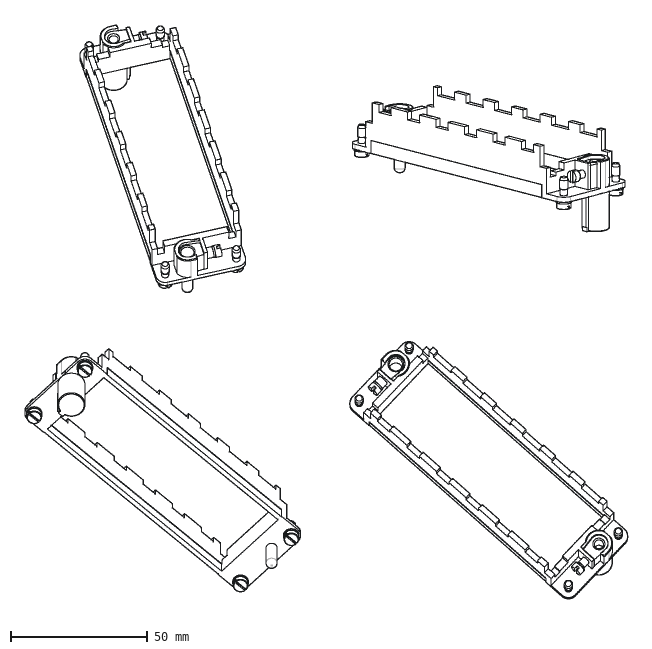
import cadquery as cq
import math

frame_length = 111.0
frame_width = 34.0
flange_height = 2.0
corner_radius = 3.4

wall_thickness = 2.1
wall_top = 19.4
shoulder_top = 11.7
wall_half_length = 46.6
tooth_half_length = 43.3
notch_count = 6
notch_span = 73.5
notch_floor = 16.4
front_notch_width = 8.7
back_notch_width = 6.1
recess_height = 5.0
recess_depth = 0.17

window_half_length = 44.0
end_wall_top = 12.0
end_wall_half_width = 12.2
step_top = 9.3
step_half_width = 7.9
corner_top = 8.0

boss_radius = 5.0
boss_y = -4.7
boss_flat_y = -9.2
boss_top = 12.3
boss_chamfer = 0.3
lug_end_y = -2.1
pocket_radius = 3.3
pocket_end_half_width = 2.8
pocket_floor = 11.0
bore_depth = 8.9
drill_tip_angle = 118.0
socket_bore_radius = 1.7
socket_mouth_radius = 2.2
pin_bore_radius = 2.4
pin_mouth_radius = 2.9

web_start_y = 0.9
web_thickness = 1.3
web_reach = 2.9
clamp_head_radius = 2.2
clamp_head_length = 2.3
clamp_head_end_y = 7.9
clamp_z = 7.4
clamp_slot_width = 1.0
clamp_slot_depth = 1.3
clamp_collar_length = 0.7
clamp_collar_rim = 0.1
socket_shaft_diameter = 3.0
pin_shaft_diameter = 4.0

socket_bottom = -14.5
socket_chamfer = 0.3
key_width = 2.2
key_end_y = 1.4
key_step_y = 1.1
key_step_z = -12.9
pin_diameter = 4.1
pin_bottom = -12.5
pin_round = 1.8

screw_x = 52.1
screw_y = 13.5
screw_washer_radius = 2.9
screw_washer_bottom = -0.8
screw_head_radius = 2.7
screw_head_bottom = -3.0
screw_head_chamfer = 0.2
screw_slot_width = 0.7
screw_slot_depth = 1.1
screw_neck_radius = 1.3
screw_thread_start = 4.3
screw_thread_radius = 1.5
screw_thread_end = 7.8
screw_tip_radius = 1.1
screw_tip = 8.8

half_length = frame_length / 2
half_width = frame_width / 2
wall_inner_y = half_width - wall_thickness
boss_x = half_length - boss_radius
web_end_y = web_start_y + web_thickness


def box(x0, x1, y0, y1, z0, z1):
    """Block between opposite corners."""
    return cq.Workplane("XY").box(x1 - x0, y1 - y0, z1 - z0, centered=False).translate((x0, y0, z0))


def rod(x, y, radius, z0, z1):
    """Upright cylinder."""
    return cq.Workplane("XY", origin=(x, y, z0)).circle(radius).extrude(z1 - z0)


def turned(x, y, profile):
    """Solid of revolution about an upright axis; the profile holds (radius, z) pairs."""
    body = cq.Workplane("XZ").polyline(profile).close().revolve(360, (0, 0), (0, 1))
    return body.translate((x, y, 0))


def flange():
    """Rounded base plate."""
    plate = box(-half_length, half_length, -half_width, half_width, 0, flange_height)
    return plate.edges("|Z").fillet(corner_radius)


def side_wall(notch_width):
    """Toothed wall standing on the -Y edge."""
    y0, y1 = -half_width, -wall_inner_y
    wall = box(-wall_half_length, wall_half_length, y0, y1, 0, shoulder_top)
    wall = wall.union(box(-tooth_half_length, tooth_half_length, y0, y1, 0, wall_top))
    for i in range(notch_count):
        x = notch_span * (i / (notch_count - 1) - 0.5)
        wall = wall.cut(box(x - notch_width / 2, x + notch_width / 2, y0, y1, notch_floor, wall_top))
    return wall


def end_walls():
    """Stepped walls closing both ends of the window."""
    x0, x1 = window_half_length, wall_half_length
    walls = box(x0, x1, -end_wall_half_width, end_wall_half_width, 0, end_wall_top)
    walls = walls.union(box(-x1, -x0, -end_wall_half_width, end_wall_half_width, 0, step_top))
    walls = walls.union(box(-x1, -x0, -step_half_width, step_half_width, 0, end_wall_top))
    for start, end in ((x0, x1), (-x1, -x0)):
        walls = walls.union(box(start, end, -wall_inner_y, wall_inner_y, 0, corner_top))
    return walls


def wall_recesses():
    """Shallow bands along the foot of the side walls, on both faces."""
    x = window_half_length
    cuts = box(-x, x, -wall_inner_y - recess_depth, wall_inner_y + recess_depth, 0, recess_height)
    for y in (-half_width, half_width - recess_depth):
        cuts = cuts.union(box(-x, x, y, y + recess_depth, 0, recess_height))
    return cuts


def boss_neck(z0):
    """Tapered stretch from the boss axis to the web, as wide as the pocket."""
    outline = [
        (-boss_x - pocket_radius, boss_y),
        (-boss_x + pocket_radius, boss_y),
        (-boss_x + pocket_end_half_width, web_start_y),
        (-boss_x - pocket_end_half_width, web_start_y),
    ]
    return cq.Workplane("XY", origin=(0, 0, z0)).polyline(outline).close().extrude(boss_top - z0)


def boss():
    """Guide boss and clamp web at the -X end."""
    body = rod(-boss_x, boss_y, boss_radius, 0, boss_top)
    body = body.union(box(-half_length, -wall_half_length, boss_y, lug_end_y, 0, boss_top))
    body = body.faces(">Z").chamfer(boss_chamfer)
    body = body.cut(box(-half_length, -boss_x, lug_end_y, web_end_y, 0, boss_top))
    body = body.union(boss_neck(0))
    body = body.union(box(-boss_x, -wall_half_length, lug_end_y, web_start_y, 0, boss_top))
    below_flat = boss_y - boss_radius
    body = body.cut(box(-half_length, -boss_x + boss_radius, below_flat, boss_flat_y, 0, boss_top))
    web = box(-boss_x - web_reach, -wall_half_length, web_start_y, web_end_y, 0, end_wall_top)
    pocket = rod(-boss_x, boss_y, pocket_radius, pocket_floor, boss_top)
    pocket = pocket.union(boss_neck(pocket_floor))
    return body.cut(pocket).union(web)


def bore(x, radius, mouth_radius):
    """Countersunk blind hole with a drill-point bottom."""
    bottom = pocket_floor - bore_depth
    tip_height = radius / math.tan(math.radians(drill_tip_angle / 2))
    mouth_depth = mouth_radius - radius
    return turned(x, boss_y, [
        (0, bottom),
        (radius, bottom + tip_height),
        (radius, pocket_floor - mouth_depth),
        (mouth_radius, pocket_floor),
        (0, pocket_floor),
    ])


def clamp_screw(x, shaft_radius):
    """Slotted screw lying along Y, threaded into the clamp web."""
    head_start_y = clamp_head_end_y - clamp_head_length

    def along_y(radius, y0, y1):
        return cq.Workplane("XZ", origin=(x, y0, clamp_z)).circle(radius).extrude(y0 - y1)

    screw = along_y(shaft_radius, web_start_y, head_start_y)
    collar_radius = shaft_radius + clamp_collar_rim
    screw = screw.union(along_y(collar_radius, head_start_y - clamp_collar_length, head_start_y))
    screw = screw.union(along_y(clamp_head_radius, head_start_y, clamp_head_end_y))
    slot = box(
        x - clamp_slot_width / 2, x + clamp_slot_width / 2,
        clamp_head_end_y - clamp_slot_depth, clamp_head_end_y,
        clamp_z - clamp_head_radius, clamp_z + clamp_head_radius,
    )
    return screw.cut(slot)


def guide_socket():
    """Keyed round sleeve below the -X boss."""
    sleeve = rod(-boss_x, boss_y, boss_radius, socket_bottom, 0)
    sleeve = sleeve.faces("<Z").chamfer(socket_chamfer)
    x0, x1 = -boss_x - key_width / 2, -boss_x + key_width / 2
    key = box(x0, x1, boss_y, key_step_y, socket_bottom, 0)
    return sleeve.union(key).union(box(x0, x1, boss_y, key_end_y, key_step_z, 0))


def guide_pin():
    """Round-ended pin below the +X boss."""
    pin = rod(boss_x, boss_y, pin_diameter / 2, pin_bottom, flange_height)
    return pin.faces("<Z").edges().fillet(pin_round)


def mounting_screw(x, y):
    """Slotted screw standing through the flange with its head below."""
    screw = turned(x, y, [
        (0, screw_head_bottom),
        (screw_head_radius - screw_head_chamfer, screw_head_bottom),
        (screw_head_radius, screw_head_bottom + screw_head_chamfer),
        (screw_head_radius, screw_washer_bottom),
        (screw_washer_radius, screw_washer_bottom),
        (screw_washer_radius, 0),
        (screw_neck_radius, 0),
        (screw_neck_radius, screw_thread_start),
        (screw_thread_radius, screw_thread_start),
        (screw_thread_radius, screw_thread_end),
        (screw_tip_radius, screw_tip),
        (0, screw_tip),
    ])
    slot = box(
        x - screw_head_radius, x + screw_head_radius,
        y - screw_slot_width / 2, y + screw_slot_width / 2,
        screw_head_bottom, screw_head_bottom + screw_slot_depth,
    )
    return screw.cut(slot)


frame = flange()
frame = frame.union(side_wall(front_notch_width))
frame = frame.union(side_wall(back_notch_width).mirror("XZ"))
frame = frame.union(end_walls())
left_boss = boss()
frame = frame.union(left_boss).union(left_boss.mirror("YZ"))
window = box(-window_half_length, window_half_length, -wall_inner_y, wall_inner_y, 0, boss_top)
frame = frame.cut(window).cut(wall_recesses())

frame = frame.union(guide_socket()).union(guide_pin())
frame = frame.cut(bore(-boss_x, socket_bore_radius, socket_mouth_radius))
frame = frame.cut(bore(boss_x, pin_bore_radius, pin_mouth_radius))
frame = frame.union(clamp_screw(-boss_x, socket_shaft_diameter / 2))
frame = frame.union(clamp_screw(boss_x, pin_shaft_diameter / 2))
for screw_side_x in (-screw_x, screw_x):
    for screw_side_y in (-screw_y, screw_y):
        frame = frame.union(mounting_screw(screw_side_x, screw_side_y))

result = frame